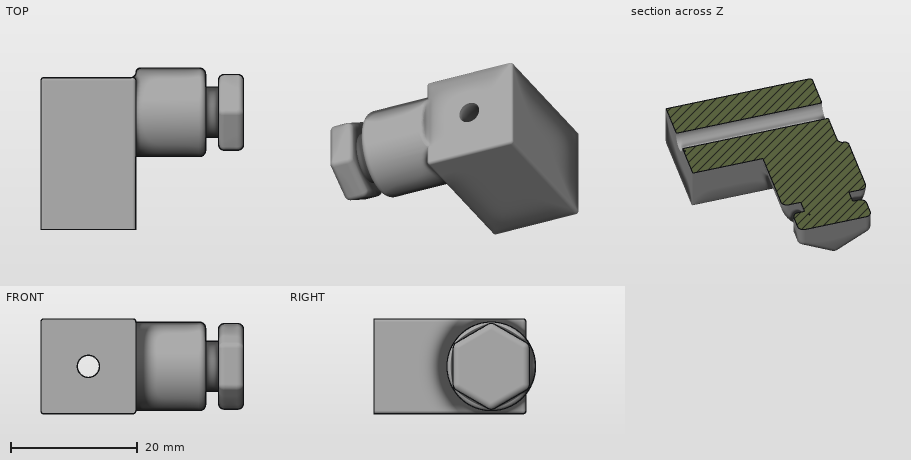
import cadquery as cq
import math

block_width = 15.0
block_length = 24.0
block_round = 0.5
hole_diameter = 3.45

collar_diameter = 14.0
collar_overhang = 1.5
collar_end_x = 26.0
collar_round = 1.0
neck_diameter = 8.0
nut_start_x = 28.0
nut_end_x = 32.0
nut_across_flats = 12.0
nut_round = 1.0

foot_radius = 0.83
rim_round = 0.75

middle = block_width / 2
axis_y = block_length + collar_overhang - collar_diameter / 2


def axial_plane(x):
    """Plane facing +X, centred on the outlet axis."""
    return cq.Workplane("YZ", origin=(x, axis_y, middle))


def make_block():
    block = cq.Workplane("XY").box(block_width, block_length, block_width, centered=False)
    side_edges = block.edges("|Y or >Y")
    return side_edges.fillet(block_round)


def make_foot_cutter():
    """Space above the block, ending in a hollow foot and a wall flush with its +X face."""
    above_collar = block_length + 2 * collar_overhang
    return (
        cq.Workplane("XY")
        .moveTo(0, block_length)
        .lineTo(block_width - foot_radius, block_length)
        .tangentArcPoint((block_width, block_length + foot_radius), relative=False)
        .lineTo(block_width, above_collar)
        .lineTo(0, above_collar)
        .close()
        .extrude(block_width)
    )


def make_collar():
    collar = axial_plane(middle).circle(collar_diameter / 2).extrude(collar_end_x - middle)
    collar = collar.faces(">X").edges().fillet(collar_round)
    collar = collar.cut(make_foot_cutter())
    rim_zone = cq.selectors.BoxSelector(
        (block_width - foot_radius, block_length + foot_radius, 0),
        (block_width + foot_radius, block_length + collar_overhang, block_width),
    )
    rim_arcs = collar.edges(rim_zone).edges("%CIRCLE")
    return rim_arcs.fillet(rim_round)


def make_neck():
    return axial_plane(middle).circle(neck_diameter / 2).extrude(nut_start_x - middle)


def make_nut():
    """Hexagon with two flats facing -Y and +Y, rounded all over."""
    across_corners = nut_across_flats / math.cos(math.radians(30))
    nut = (
        axial_plane(nut_start_x)
        .transformed(rotate=(0, 0, 90))
        .polygon(6, across_corners)
        .extrude(nut_end_x - nut_start_x)
    )
    return nut.edges().fillet(nut_round)


def make_hole():
    return (
        cq.Workplane("XZ", origin=(middle, 0, middle))
        .circle(hole_diameter / 2)
        .extrude(-block_length)
    )


result = make_block().union(make_collar()).union(make_neck()).union(make_nut()).cut(make_hole())